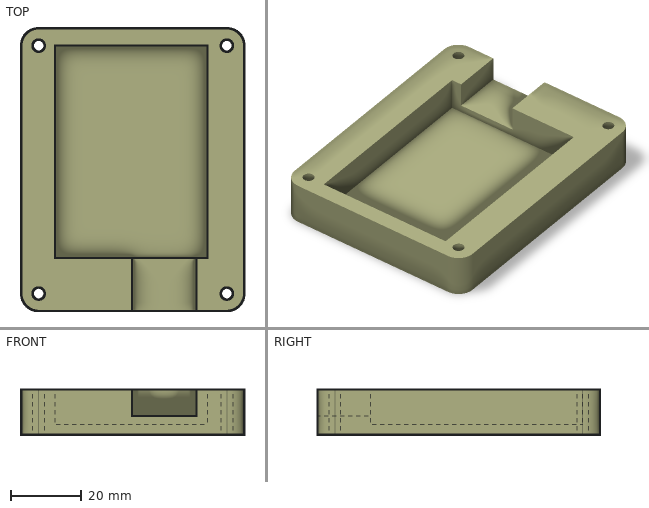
import cadquery as cq

width = 63.7
length = 80.7
height = 13.0
corner_radius = 5.0

hole_diameter = 3.4
hole_spacing_x = width - 2 * corner_radius
hole_spacing_y = length - 2 * corner_radius

pocket_width = 43.6
pocket_left = -22.2
pocket_length = 60.5
pocket_depth = 10.0
back_wall = 5.0
pocket_back = length / 2 - back_wall
pocket_front = pocket_back - pocket_length

channel_width = 18.3
channel_depth = 7.7
channel_left = -0.2
front_face = -length / 2


def top_cutter(left, front, size_x, size_y, depth):
    """Box that cuts down from the top face, placed by its left front corner."""
    return cq.Workplane("XY").box(size_x, size_y, depth, centered=False).translate(
        (left, front, height - depth)
    )


body = (
    cq.Workplane("XY")
    .box(width, length, height, centered=(True, True, False))
    .edges("|Z")
    .fillet(corner_radius)
)

pocket = top_cutter(pocket_left, pocket_front, pocket_width, pocket_length, pocket_depth)
channel = top_cutter(
    channel_left, front_face, channel_width, pocket_front - front_face, channel_depth
)

holes = (
    cq.Workplane("XY")
    .rect(hole_spacing_x, hole_spacing_y, forConstruction=True)
    .vertices()
    .circle(hole_diameter / 2)
    .extrude(height)
)

result = body.cut(pocket).cut(channel).cut(holes)